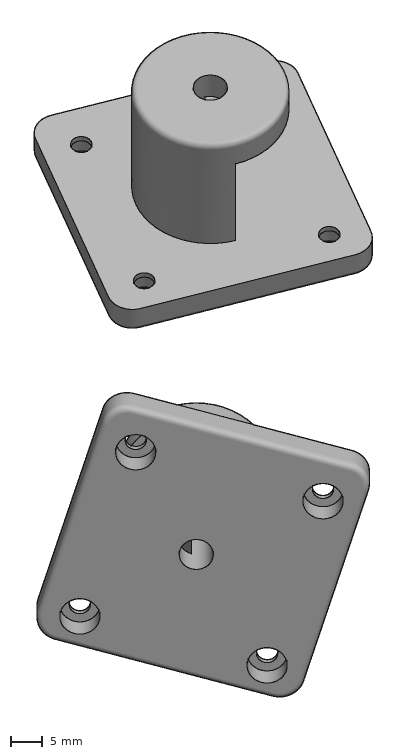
import cadquery as cq

plate_side = 44.0
plate_thickness = 5.0
corner_radius = 4.0
edge_radius = 1.0

total_height = 28.0
post_diameter = 25.0
post_x = 0.5
post_y = 1.0
cap_thickness = plate_thickness
bore_diameter = 5.4

screw_diameter = 3.4
screw_head_diameter = 6.4
screw_seat_thickness = 1.0
screw_head_depth = plate_thickness - screw_seat_thickness
screw_spacing = 31.0
screw_pattern_x = 1.0


def make_plate():
    """Plate with rounded corners and a rounded bottom rim."""
    plate = cq.Workplane("XY").rect(plate_side, plate_side).extrude(plate_thickness)
    return plate.edges("|Z").fillet(corner_radius).faces("<Z").edges().fillet(edge_radius)


def make_post():
    """Cylinder with a rounded top rim, its +Y half cut away below the cap."""
    post_height = total_height - plate_thickness
    post = (
        cq.Workplane("XY", origin=(post_x, post_y, plate_thickness))
        .circle(post_diameter / 2)
        .extrude(post_height)
        .faces(">Z")
        .edges()
        .fillet(edge_radius)
    )
    opening = (
        cq.Workplane("XY", origin=(post_x, post_y, plate_thickness))
        .box(post_diameter, post_diameter, post_height - cap_thickness, centered=(True, False, False))
    )
    return post.cut(opening)


def make_screw_cylinders(diameter, depth):
    """Four cylinders at the screw positions, rising from the plate's underside."""
    return (
        cq.Workplane("XY", origin=(screw_pattern_x, 0, 0))
        .rect(screw_spacing, screw_spacing, forConstruction=True)
        .vertices()
        .circle(diameter / 2)
        .extrude(depth)
    )


def make_holes():
    """Central through bore and four screw holes counterbored from below."""
    bore = cq.Workplane("XY", origin=(post_x, post_y, 0)).circle(bore_diameter / 2).extrude(total_height)
    shanks = make_screw_cylinders(screw_diameter, plate_thickness)
    heads = make_screw_cylinders(screw_head_diameter, screw_head_depth)
    return bore.union(shanks).union(heads)


result = make_plate().union(make_post()).cut(make_holes())